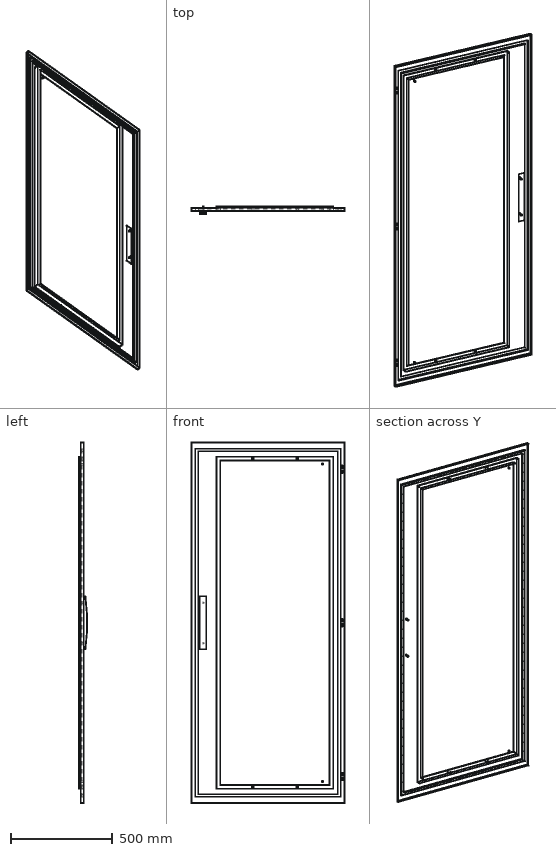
import cadquery as cq

DOOR_WIDTH = 759.0
DOOR_HEIGHT = 1784.0
DOOR_DEPTH = 16.0
SHEET = 1.5

SEAL_SIDE_INSET = 20.0
SEAL_END_INSET = 30.0
SEAL_WIDTH = 14.0
SEAL_HEIGHT = 10.0

FRAME_REAR = 24.34
FRAME_WIDTH = 20.0
FRAME_LEFT_INSET = 124.5
FRAME_RIGHT_INSET = 56.0
FRAME_END_INSET = 70.0
FRAME_LIP_GAP = 2.2

SPACER_DIAMETER = 11.0
SPACER_SPACING = 220.0

STUD_DIAMETER = 6.0
STUD_LENGTH = 10.0
STUD_SIDE_INSET = 110.0
STUD_END_INSET = 107.0

HINGE_HOLE_DIAMETER = 11.0
HINGE_EDGE_DISTANCE = 11.5
HINGE_HOLE_SPACING = 24.0
HINGE_PITCH = 759.5

HANDLE_EDGE_DISTANCE = 58.5
HANDLE_WIDTH = 32.0
HANDLE_LENGTH = 264.0
HANDLE_END_HEIGHT = 8.0
HANDLE_MIDDLE_HEIGHT = 17.0
BOLT_DIAMETER = 6.0
BOLT_SPACING = 200.0

half_width = DOOR_WIDTH / 2
half_height = DOOR_HEIGHT / 2
frame_width_outer = DOOR_WIDTH - FRAME_LEFT_INSET - FRAME_RIGHT_INSET
frame_height_outer = DOOR_HEIGHT - 2 * FRAME_END_INSET
frame_x = (FRAME_LEFT_INSET - FRAME_RIGHT_INSET) / 2
handle_x = HANDLE_EDGE_DISTANCE - half_width
bolt_points = [(handle_x, side * BOLT_SPACING / 2) for side in (-1, 1)]


def panel(width, height, y_start, y_end, x=0.0):
    """A rectangular block centred on (x, z = 0), from y_start back to y_end."""
    depth = y_end - y_start
    return cq.Workplane("XY").box(width, depth, height).translate((x, y_start + depth / 2, 0))


def ring(width, height, band, y_start, y_end, x=0.0):
    """A rectangular ring of the given outer size and band width."""
    opening = panel(width - 2 * band, height - 2 * band, y_start, y_end, x)
    return panel(width, height, y_start, y_end, x).cut(opening)


def rods(points, diameter, y_start, y_end):
    """Round rods along Y, centred on the (x, z) points."""
    plane = cq.Workplane("XZ", origin=(0, y_start, 0))
    return plane.pushPoints(points).circle(diameter / 2).extrude(y_start - y_end)


def make_frame():
    inner_width = frame_width_outer - 2 * (FRAME_WIDTH - SHEET)
    inner_height = frame_height_outer - 2 * (FRAME_WIDTH - SHEET)
    outer_leg = ring(frame_width_outer, frame_height_outer, SHEET, SHEET, FRAME_REAR, frame_x)
    web = ring(frame_width_outer, frame_height_outer, FRAME_WIDTH, FRAME_REAR - SHEET, FRAME_REAR, frame_x)
    inner_leg = ring(inner_width, inner_height, SHEET, SHEET + FRAME_LIP_GAP, FRAME_REAR, frame_x)
    return outer_leg.union(web).union(inner_leg)


def make_door():
    door = panel(DOOR_WIDTH, DOOR_HEIGHT, 0, SHEET)
    door = door.union(ring(DOOR_WIDTH, DOOR_HEIGHT, SHEET, 0, DOOR_DEPTH))
    seal_size = (DOOR_WIDTH - 2 * SEAL_SIDE_INSET, DOOR_HEIGHT - 2 * SEAL_END_INSET)
    door = door.union(ring(*seal_size, SEAL_WIDTH, SHEET, SHEET + SEAL_HEIGHT))
    door = door.union(make_frame())

    spacer_z = (frame_height_outer - FRAME_WIDTH) / 2
    spacer_points = [
        (frame_x + x_side * SPACER_SPACING / 2, z_side * spacer_z)
        for x_side in (-1, 1)
        for z_side in (-1, 1)
    ]
    door = door.union(rods(spacer_points, SPACER_DIAMETER, SHEET, FRAME_REAR - SHEET))

    stud_points = [(half_width - STUD_SIDE_INSET, side * (half_height - STUD_END_INSET)) for side in (-1, 1)]
    door = door.union(rods(stud_points, STUD_DIAMETER, SHEET, SHEET + STUD_LENGTH))

    hinge_points = [
        (half_width - HINGE_EDGE_DISTANCE, level * HINGE_PITCH + side * HINGE_HOLE_SPACING / 2)
        for level in (-1, 0, 1)
        for side in (-1, 1)
    ]
    door = door.cut(rods(hinge_points, HINGE_HOLE_DIAMETER, 0, SHEET))
    return door.cut(rods(bolt_points, BOLT_DIAMETER, 0, SHEET))


def make_handle():
    half_length = HANDLE_LENGTH / 2
    side_profile = (
        cq.Workplane("YZ", origin=(handle_x - HANDLE_WIDTH / 2, 0, 0))
        .moveTo(0, -half_length)
        .lineTo(-HANDLE_END_HEIGHT, -half_length)
        .threePointArc((-HANDLE_MIDDLE_HEIGHT, 0), (-HANDLE_END_HEIGHT, half_length))
        .lineTo(0, half_length)
        .close()
    )
    bar = side_profile.extrude(HANDLE_WIDTH)
    return bar.union(rods(bolt_points, BOLT_DIAMETER, 0, FRAME_REAR))


door = make_door()
handle = make_handle()
result = cq.Compound.makeCompound([door.val(), handle.val()])